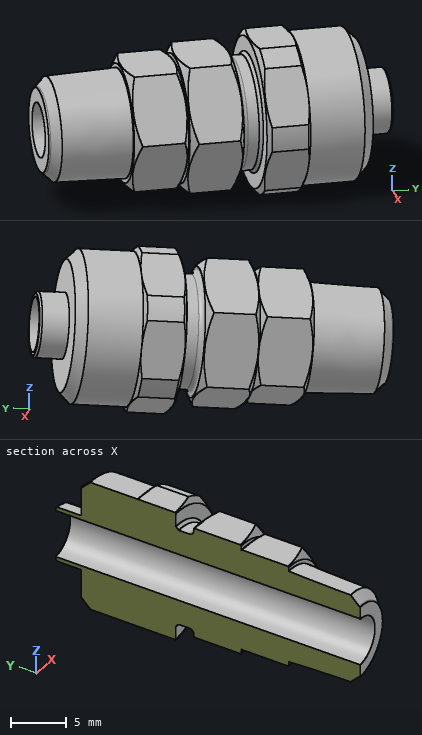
import cadquery as cq
import math


total_length = 32.0
bore_diameter = 5.0

thread_length = 7.5
thread_base_diameter = 10.0
thread_taper = 1 / 16
thread_chamfer_end = 1.0
thread_tip_length = 0.14
thread_tip_base_diameter = 7.84
thread_end_diameter = 7.68

body_hex_flats = 11.0
body_hex_length = 5.0
adapter_hex_flats = 12.0
adapter_hex_length = 5.0
nut_hex_flats = 14.0
nut_hex_length = 4.0
nut_corner_diameter = 15.0
hex_corner_to_flat = 1 / math.cos(math.radians(30))
hex_chamfer_angle = 30.0
hex_face_inset = 0.1
hex_blank_allowance = 0.1

neck_diameter = 10.4
neck_length = 1.85
neck_fillet = 0.5
neck_shoulder = 0.3

sleeve_length = 6.0
sleeve_chamfer = 1.0

tube_diameter = 6.0
tube_edge_chamfer = 0.2

body_hex_start = thread_length
adapter_hex_start = body_hex_start + body_hex_length
neck_start = adapter_hex_start + adapter_hex_length
nut_start = neck_start + neck_length
sleeve_start = nut_start + nut_hex_length
sleeve_end = sleeve_start + sleeve_length


def revolve_profile(profile):
    """Close a (radius, Y) profile and turn it about the Y axis."""
    return profile.close().revolve(360, (0, 0, 0), (0, 1, 0))


def cylinder(start, end, diameter):
    """Round bar along Y between two stations."""
    return cq.Workplane("XZ", origin=(0, start, 0)).circle(diameter / 2).extrude(start - end)


def chamfered_hex(start, length, flats, corner_diameter, far_face_diameter):
    """Hexagon with corners on the X axis, trimmed by a turned blank with conical ends."""
    end = start + length
    across_corners = flats * hex_corner_to_flat
    prism = cq.Workplane("XZ", origin=(0, start, 0)).polygon(6, across_corners).extrude(-length)

    corner_radius = corner_diameter / 2
    near_radius = flats / 2 - hex_face_inset
    far_radius = far_face_diameter / 2
    slope = math.tan(math.radians(hex_chamfer_angle))
    near_depth = (corner_radius - near_radius) * slope
    far_depth = (corner_radius - far_radius) * slope
    blank = revolve_profile(
        cq.Workplane("XY")
        .moveTo(0, start)
        .lineTo(near_radius, start)
        .lineTo(corner_radius, start + near_depth)
        .lineTo(corner_radius, end - far_depth)
        .lineTo(far_radius, end)
        .lineTo(0, end)
    )
    return prism.intersect(blank)


def plain_hex(start, length, flats):
    """Hexagon with full corners and both ends chamfered alike."""
    corner_diameter = flats * hex_corner_to_flat + hex_blank_allowance
    return chamfered_hex(start, length, flats, corner_diameter, flats - 2 * hex_face_inset)


def thread():
    """Tapered thread envelope, narrowing towards Y = 0, with a chamfer and a broken end edge."""
    base_radius = thread_base_diameter / 2
    chamfer_radius = base_radius - (thread_length - thread_chamfer_end) * thread_taper / 2
    return revolve_profile(
        cq.Workplane("XY")
        .lineTo(thread_end_diameter / 2, 0)
        .lineTo(thread_tip_base_diameter / 2, thread_tip_length)
        .lineTo(chamfer_radius, thread_chamfer_end)
        .lineTo(base_radius, thread_length)
        .lineTo(0, thread_length)
    )


def neck():
    """Neck with a concave fillet at the adapter and a small cone at the nut."""
    radius = neck_diameter / 2
    arc_offset = neck_fillet * (1 - math.sqrt(0.5))
    return revolve_profile(
        cq.Workplane("XY")
        .moveTo(0, neck_start)
        .lineTo(radius + neck_fillet, neck_start)
        .threePointArc(
            (radius + arc_offset, neck_start + arc_offset),
            (radius, neck_start + neck_fillet),
        )
        .lineTo(radius, nut_start - neck_shoulder)
        .lineTo(radius + neck_shoulder, nut_start)
        .lineTo(0, nut_start)
    )


def nut():
    """Union nut: rounded hexagon followed by a round sleeve."""
    hexagon = chamfered_hex(nut_start, nut_hex_length, nut_hex_flats, nut_corner_diameter, nut_hex_flats)
    sleeve = cylinder(sleeve_start, sleeve_end, nut_hex_flats).faces(">Y").chamfer(sleeve_chamfer)
    return hexagon.union(sleeve)


def tube():
    """Tube stub leaving the nut."""
    return cylinder(sleeve_end, total_length, tube_diameter).faces(">Y").chamfer(tube_edge_chamfer)


body_hex = plain_hex(body_hex_start, body_hex_length, body_hex_flats)
adapter_hex = plain_hex(adapter_hex_start, adapter_hex_length, adapter_hex_flats)
solid_fitting = thread().union(body_hex).union(adapter_hex).union(neck()).union(nut()).union(tube())
result = solid_fitting.cut(cylinder(0, total_length, bore_diameter))